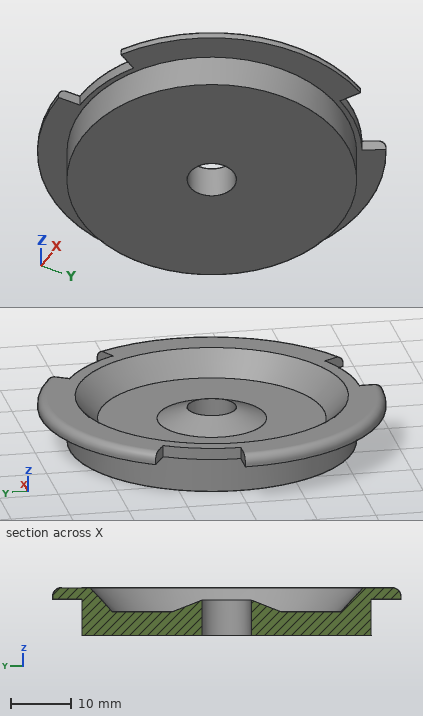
import cadquery as cq
import math

flange_radius = 29.05
total_height = 8.0
flange_thickness = 2.0
body_radius = 48.3 / 2
rim_fillet = 1.5

recess_top_radius = 22.8
recess_floor_radius = 19.05
recess_depth = 4.0

cone_base_radius = 9.1
cone_height = 2.0
hole_radius = 8.2 / 2

notch_count = 3
notch_start_angle = 30.0
notch_span = 30.0
notch_inner_radius = 25.05

flange_bottom = total_height - flange_thickness
recess_floor = total_height - recess_depth
cone_top = recess_floor + cone_height


def polar(radius, angle):
    """Return the XY point at a radius and an angle in degrees."""
    radians = math.radians(angle)
    return (radius * math.cos(radians), radius * math.sin(radians))


def revolved_body():
    """Revolve the half section of the flanged dish about Z."""
    fillet_start = (flange_radius, total_height - rim_fillet)
    fillet_end = (flange_radius - rim_fillet, total_height)
    return (
        cq.Workplane("XZ")
        .moveTo(hole_radius, 0)
        .lineTo(body_radius, 0)
        .lineTo(body_radius, flange_bottom)
        .lineTo(flange_radius, flange_bottom)
        .lineTo(*fillet_start)
        .radiusArc(fillet_end, -rim_fillet)
        .lineTo(recess_top_radius, total_height)
        .lineTo(recess_floor_radius, recess_floor)
        .lineTo(cone_base_radius, recess_floor)
        .lineTo(hole_radius, cone_top)
        .close()
        .revolve(360, (0, 0, 0), (0, 1, 0))
    )


def notch(start_angle):
    """Make a ring sector with radial sides that cuts through the flange."""
    cutter_radius = 1.1 * flange_radius
    middle_angle = start_angle + notch_span / 2
    end_angle = start_angle + notch_span
    return (
        cq.Workplane("XY", origin=(0, 0, flange_bottom))
        .moveTo(*polar(notch_inner_radius, start_angle))
        .lineTo(*polar(cutter_radius, start_angle))
        .threePointArc(polar(cutter_radius, middle_angle), polar(cutter_radius, end_angle))
        .lineTo(*polar(notch_inner_radius, end_angle))
        .threePointArc(
            polar(notch_inner_radius, middle_angle),
            polar(notch_inner_radius, start_angle),
        )
        .close()
        .extrude(flange_thickness)
    )


result = revolved_body()
for index in range(notch_count):
    result = result.cut(notch(notch_start_angle + index * 360 / notch_count))